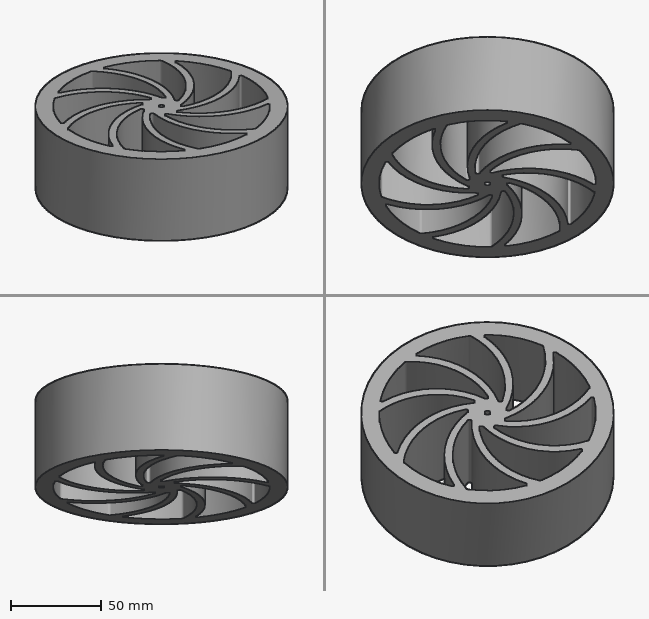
import cadquery as cq
import math

outer_diameter = 140.0
height = 50.0
rim_thickness = 10.0
bore_diameter = 3.1

vane_count = 9
pitch_angle = 360.0 / vane_count
leading_radius = 47.2
leading_center_distance = 43.0
leading_center_angle = 36.4
trailing_radius = 49.8
trailing_center_distance = 42.0
trailing_center_angle = 74.1

hub_corner_radius = 1.3
leading_rim_corner_radius = 2.0
trailing_rim_corner_radius = 1.0


def cylinder_at(radius, center_distance=0.0, center_angle=0.0):
    """Full-height cylinder whose axis is placed in polar coordinates."""
    angle = math.radians(center_angle)
    x = center_distance * math.cos(angle)
    y = center_distance * math.sin(angle)
    return cq.Workplane("XY").center(x, y).circle(radius).extrude(height)


def make_pocket():
    """Through pocket bounded by the rim and two vane faces, with rounded corners."""
    rim_bore = cylinder_at(outer_diameter / 2 - rim_thickness)
    leading_face = cylinder_at(leading_radius, leading_center_distance, leading_center_angle)
    trailing_face = cylinder_at(trailing_radius, trailing_center_distance, trailing_center_angle)
    pocket = rim_bore.intersect(leading_face).cut(trailing_face)
    pocket = pocket.edges("|Z").edges(">X").fillet(leading_rim_corner_radius)
    pocket = pocket.edges("|Z").edges(">Y").fillet(trailing_rim_corner_radius)
    return pocket.edges("|Z").edges("<X").fillet(hub_corner_radius)


wheel = cylinder_at(outer_diameter / 2).cut(cylinder_at(bore_diameter / 2))

pocket = make_pocket()
for index in range(vane_count):
    wheel = wheel.cut(pocket.rotate((0, 0, 0), (0, 0, 1), index * pitch_angle))

result = wheel